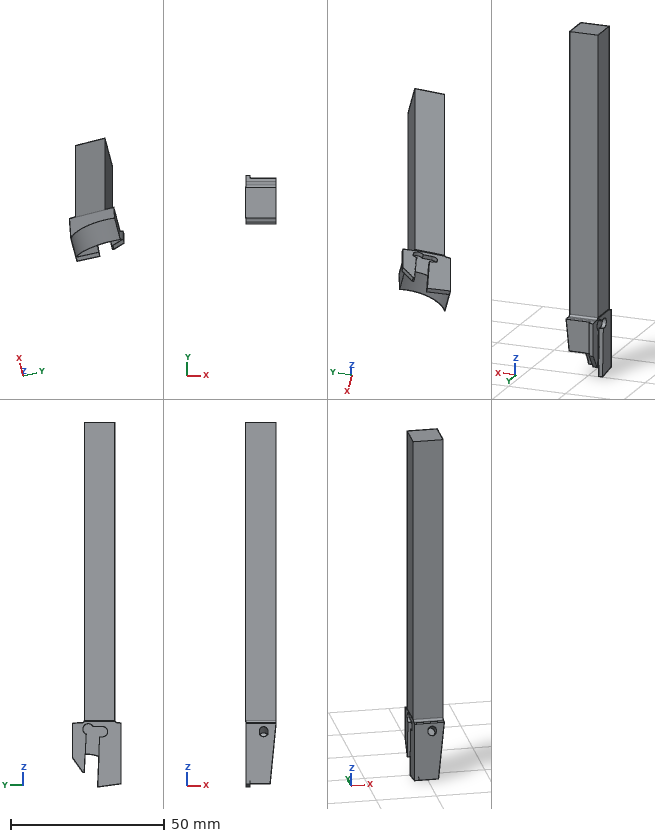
import cadquery as cq
import math

TOTAL_LENGTH = 119.0
SHANK_WIDTH = 10.0
HALF_SHANK = SHANK_WIDTH / 2
OVERALL_DEPTH = 16.0

HEAD_FRONT = -7.0
HEAD_REAR = HEAD_FRONT + OVERALL_DEPTH
SUPPORT_REAR = 8.0
HEAD_EDGE_Z = 20.8
ROOT_TOP_Z = 21.8
ROOT_RADIUS = 0.7
SHOULDER_Z = ROOT_TOP_Z - ROOT_RADIUS
FRONT_SHOULDER_Y = -6.3
REAR_SHOULDER_Y = 6.9
BLADE_FILLET = 0.5
FACE_RELIEF = 0.1
RELIEF_RAMP = 0.4
BLADE_THICKNESS = 1.5
HEAD_LEFT = -HALF_SHANK + FACE_RELIEF
BLADE_BACK = -HALF_SHANK + BLADE_THICKNESS

FRONT_CORNER_Z = 1.1
TIP_Y = 0.7
JAW_BEVEL_Z = 9.6
JAW_TIP_OUTER_Y = 5.5
JAW_TIP_Z = 4.8
JAW_TIP_INNER_Y = 5.0

SLOT_TOP_Z = 17.1
SLOT_FRONT_Y = 0.0
SLOT_REAR_Y = 4.4
REAR_LOBE_Y = 3.7
REAR_LOBE_Z = 18.9
REAR_LOBE_RADIUS = 1.8
FRONT_LOBE_Y = -1.0
FRONT_LOBE_Z = 18.1
FRONT_LOBE_RADIUS = 1.7

UNDERSIDE_Y = 4.3
UNDERSIDE_Z = -0.6
UNDERSIDE_RADIUS = 11.3

TAPER_TOP_Z = 20.5
TAPER_BOTTOM_X = 3.1

SCREW_X = 1.0
SCREW_MOUTH_Z = 18.1
SCREW_TILT = 30.0
SCREW_DIAMETER = 2.9
SCREW_LENGTH = 4.8
SCREW_SETBACK = 3.2
BORE_OVERRUN = 2.4


def extrude_x(profile, x_start, x_end):
    """Closed YZ profile extruded between two X positions."""
    return profile.extrude(x_end - x_start).translate((x_start, 0, 0))


def make_shank():
    return cq.Workplane("XY").workplane(offset=SHOULDER_Z).rect(SHANK_WIDTH, SHANK_WIDTH).extrude(
        TOTAL_LENGTH - SHOULDER_Z
    )


def make_root_fillet(side):
    """Concave fillet from the front (-1) or rear (+1) shank face to the head."""
    wall_y = side * HALF_SHANK
    toe_y = side * (HALF_SHANK + ROOT_RADIUS)
    reach = ROOT_RADIUS * (1 - math.sqrt(0.5))
    profile = (
        cq.Workplane("YZ")
        .moveTo(wall_y, SHOULDER_Z)
        .lineTo(wall_y, ROOT_TOP_Z)
        .threePointArc((wall_y + side * reach, SHOULDER_Z + reach), (toe_y, SHOULDER_Z))
        .close()
    )
    return extrude_x(profile, -HALF_SHANK, HALF_SHANK)


def make_blade():
    profile = cq.Workplane("YZ").polyline([
        (HEAD_FRONT, FRONT_CORNER_Z),
        (TIP_Y, 0),
        (SLOT_FRONT_Y, SLOT_TOP_Z),
        (SLOT_REAR_Y, SLOT_TOP_Z),
        (JAW_TIP_INNER_Y, JAW_TIP_Z),
        (JAW_TIP_OUTER_Y, JAW_TIP_Z),
        (HEAD_REAR, JAW_BEVEL_Z),
        (HEAD_REAR, HEAD_EDGE_Z),
        (REAR_SHOULDER_Y, SHOULDER_Z),
        (FRONT_SHOULDER_Y, SHOULDER_Z),
        (HEAD_FRONT, HEAD_EDGE_Z),
    ]).close()
    blade = extrude_x(profile, -HALF_SHANK, BLADE_BACK)
    rear_lobe = cq.Workplane("YZ").center(REAR_LOBE_Y, REAR_LOBE_Z).circle(REAR_LOBE_RADIUS)
    front_lobe = cq.Workplane("YZ").center(FRONT_LOBE_Y, FRONT_LOBE_Z).circle(FRONT_LOBE_RADIUS)
    bridge = cq.Workplane("YZ").polyline([
        (FRONT_LOBE_Y, FRONT_LOBE_Z - FRONT_LOBE_RADIUS),
        (SLOT_FRONT_Y, FRONT_LOBE_Z - FRONT_LOBE_RADIUS),
        (SLOT_REAR_Y, FRONT_LOBE_Z - FRONT_LOBE_RADIUS),
        (REAR_LOBE_Y, FRONT_LOBE_Z + FRONT_LOBE_RADIUS),
        (FRONT_LOBE_Y, FRONT_LOBE_Z + FRONT_LOBE_RADIUS),
    ]).close()
    for cutter in (rear_lobe, front_lobe, bridge):
        blade = blade.cut(extrude_x(cutter, -HALF_SHANK, BLADE_BACK))
    return blade


def make_blade_fillet(top_z):
    """Concave fillet between the back of the support block and the rear jaw."""
    reach = BLADE_FILLET * (1 - math.sqrt(0.5))
    return (
        cq.Workplane("XY")
        .workplane(offset=FRONT_CORNER_Z)
        .moveTo(BLADE_BACK, SUPPORT_REAR)
        .lineTo(BLADE_BACK, SUPPORT_REAR + BLADE_FILLET)
        .threePointArc(
            (BLADE_BACK + reach, SUPPORT_REAR + reach),
            (BLADE_BACK + BLADE_FILLET, SUPPORT_REAR),
        )
        .close()
        .extrude(top_z - BLADE_FILLET * rear_slope() - FRONT_CORNER_Z)
    )


def rear_slope():
    """Fall per unit of depth on the top of the head behind the shank."""
    return (SHOULDER_Z - HEAD_EDGE_Z) / (HEAD_REAR - REAR_SHOULDER_Y)


def make_support():
    rear_edge_z = SHOULDER_Z - rear_slope() * (SUPPORT_REAR - REAR_SHOULDER_Y)
    profile = cq.Workplane("YZ").polyline([
        (HEAD_FRONT, FRONT_CORNER_Z),
        (SUPPORT_REAR, FRONT_CORNER_Z),
        (SUPPORT_REAR, rear_edge_z),
        (REAR_SHOULDER_Y, SHOULDER_Z),
        (FRONT_SHOULDER_Y, SHOULDER_Z),
        (HEAD_FRONT, HEAD_EDGE_Z),
    ]).close()
    underside = cq.Workplane("YZ").center(UNDERSIDE_Y, UNDERSIDE_Z).circle(UNDERSIDE_RADIUS)
    support = extrude_x(profile, BLADE_BACK, HALF_SHANK)
    support = support.union(make_blade_fillet(rear_edge_z))
    return support.cut(extrude_x(underside, BLADE_BACK, HALF_SHANK))


def make_side_taper():
    """Wedge removed from the +X side of the head."""
    taper_slope = (HALF_SHANK - TAPER_BOTTOM_X) / (TAPER_TOP_Z - FRONT_CORNER_Z)
    floor_x = TAPER_BOTTOM_X - taper_slope * FRONT_CORNER_Z
    return (
        cq.Workplane("XZ")
        .polyline([(HALF_SHANK, TAPER_TOP_Z), (floor_x, 0), (HALF_SHANK, 0)])
        .close()
        .extrude(OVERALL_DEPTH, both=True)
    )


def make_face_relief():
    """Thin layer removed from the -X side of the head, ramping out at the shank."""
    return (
        cq.Workplane("XZ")
        .polyline([
            (-HALF_SHANK, 0),
            (HEAD_LEFT, 0),
            (HEAD_LEFT, ROOT_TOP_Z - RELIEF_RAMP),
            (-HALF_SHANK, ROOT_TOP_Z),
        ])
        .close()
        .extrude(OVERALL_DEPTH, both=True)
    )


def make_screw_cylinder(start, length):
    """Cylinder on the screw axis, starting at a distance inward from the bore mouth."""
    tilt = math.radians(SCREW_TILT)
    mouth = cq.Vector(SCREW_X, HEAD_FRONT, SCREW_MOUTH_Z)
    inward = cq.Vector(0, math.cos(tilt), -math.sin(tilt))
    return cq.Solid.makeCylinder(SCREW_DIAMETER / 2, length, mouth + inward * start, inward)


def make_holder():
    holder = make_shank().union(make_support()).union(make_blade())
    for side in (-1, 1):
        holder = holder.union(make_root_fillet(side))
    bore = make_screw_cylinder(-BORE_OVERRUN, BORE_OVERRUN + SCREW_SETBACK + SCREW_LENGTH)
    return holder.cut(make_side_taper()).cut(make_face_relief()).cut(cq.Workplane(bore))


holder = make_holder()
clamp_screw = make_screw_cylinder(SCREW_SETBACK, SCREW_LENGTH)
result = cq.Compound.makeCompound([holder.val(), clamp_screw])